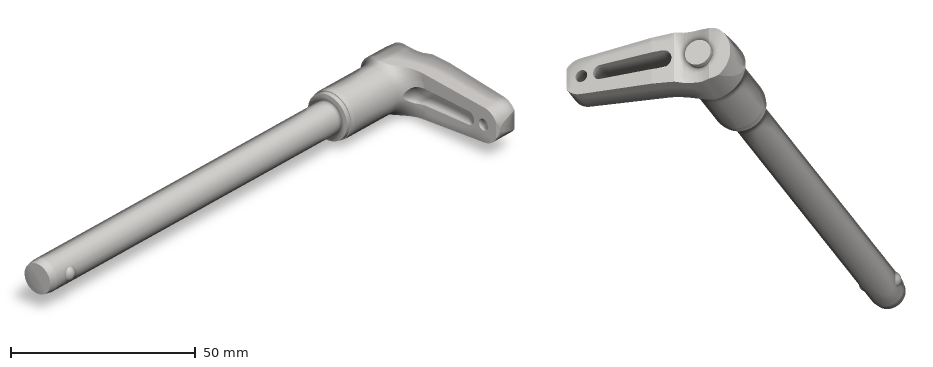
import cadquery as cq
import math


shank_radius = 5.0
shank_length = 119.6
tip_chamfer_length = 2.4
tip_chamfer_depth = 0.4
ball_radius = 2.2
ball_tip_offset = 6.0
ball_distance = 111.8

nose_radius = 7.0
nose_length = 1.4
collar_radius = 7.42
bevel_start = 2.7
bevel_depth = 0.1
flare_start = 20.0
flare_fillet = 5.85

handle_half_width = 7.91
blend_half_length = 0.8
head_tangent_x = -3.1
head_flank_angle = math.radians(7.0)
arm_end_radius = 5.4
arm_end_x = 34.5
slot_start_radius = 2.6
slot_start_x = 10.4
slot_end_radius = 2.1
slot_end_x = 28.9
lanyard_hole_radius = 1.75

head_top = 34.2
saddle_bottom = 33.45
saddle_end = 33.85
arm_bottom = flare_start + flare_fillet
arm_top = 35.15
arm_end_top = 32.2
arm_end_edge = 25.2
arm_end_bottom = 24.3

saddle_start_x = -2.6
saddle_middle_x = 0.6
saddle_end_x = 4.7
arm_crest_start_x = 7.0
arm_crest_end_x = 13.5
arm_top_end_x = 39.0
arm_slope_start_x = 11.4
arm_tip_x = arm_end_x + arm_end_radius
arm_bottom_chamfer = 0.7

relief_base_y = 24.9
relief_base_radius = 9.8
relief_top_radius = 8.75

button_radius = 3.7
button_top = 35.8

flare_radius = collar_radius + flare_fillet

blend_edge_half_width = handle_half_width - blend_half_length * math.tan(head_flank_angle) / 2
head_tangent_half_width = (
    blend_edge_half_width - (-blend_half_length - head_tangent_x) * math.tan(head_flank_angle)
)
head_radius = head_tangent_half_width / math.cos(head_flank_angle)
head_left_x = head_tangent_x + head_radius * (math.sin(head_flank_angle) - 1)


def revolve_about_pin(profile):
    """Revolve a closed radius/height profile about the Y axis."""
    return profile.close().revolve(360, (0, 0, 0), (0, 1, 0))


def along_pin(base_y):
    """Workplane whose local axes are X and Z and whose normal is +Y."""
    plane = cq.Plane(origin=(0, base_y, 0), xDir=(1, 0, 0), normal=(0, 1, 0))
    return cq.Workplane(plane)


def tangent_offsets(start_x, start_half_width, end_x, end_radius):
    """Offsets from an arc centre at end_x to its tangent point with a line from the start point."""
    run = end_x - start_x
    distance = math.hypot(run, start_half_width)
    angle = math.acos(end_radius / distance) - math.atan2(run, start_half_width)
    return end_radius * math.sin(angle), end_radius * math.cos(angle)


def make_outline(height):
    """Handle outline: head arc, spreading flanks, blend arcs and flanks tapering to the arm end."""
    end_dx, end_dz = tangent_offsets(
        blend_half_length, blend_edge_half_width, arm_end_x, arm_end_radius
    )
    end_tangent_x = arm_end_x + end_dx
    return (
        along_pin(flare_start)
        .moveTo(head_tangent_x, -head_tangent_half_width)
        .threePointArc((head_left_x, 0), (head_tangent_x, head_tangent_half_width))
        .lineTo(-blend_half_length, blend_edge_half_width)
        .threePointArc((0, handle_half_width), (blend_half_length, blend_edge_half_width))
        .lineTo(end_tangent_x, end_dz)
        .threePointArc((arm_tip_x, 0), (end_tangent_x, -end_dz))
        .lineTo(blend_half_length, -blend_edge_half_width)
        .threePointArc((0, -handle_half_width), (-blend_half_length, -blend_edge_half_width))
        .close()
        .extrude(height)
    )


def make_slot(height):
    """Tapered slot: two arcs on the X axis joined by tangent flanks."""
    tilt = math.asin((slot_start_radius - slot_end_radius) / (slot_end_x - slot_start_x))
    start_x = slot_start_x + slot_start_radius * math.sin(tilt)
    start_z = slot_start_radius * math.cos(tilt)
    end_x = slot_end_x + slot_end_radius * math.sin(tilt)
    end_z = slot_end_radius * math.cos(tilt)
    return (
        along_pin(flare_start)
        .moveTo(start_x, -start_z)
        .threePointArc((slot_start_x - slot_start_radius, 0), (start_x, start_z))
        .lineTo(end_x, end_z)
        .threePointArc((slot_end_x + slot_end_radius, 0), (end_x, -end_z))
        .close()
        .extrude(height)
    )


def make_shank():
    chamfer_y = tip_chamfer_length - shank_length
    profile = (
        cq.Workplane("XY")
        .moveTo(0, -shank_length)
        .lineTo(shank_radius - tip_chamfer_depth, -shank_length)
        .lineTo(shank_radius, chamfer_y)
        .lineTo(shank_radius, nose_length)
        .lineTo(0, nose_length)
    )
    return revolve_about_pin(profile)


def make_ball(side):
    center_x = side * (ball_tip_offset - ball_radius)
    return cq.Workplane("XY").sphere(ball_radius).translate((center_x, -ball_distance, 0))


def make_collar():
    profile = (
        cq.Workplane("XY")
        .lineTo(nose_radius, 0)
        .lineTo(nose_radius, nose_length)
        .lineTo(collar_radius - bevel_depth, nose_length)
        .lineTo(collar_radius, bevel_start)
        .lineTo(collar_radius, flare_start)
        .lineTo(0, flare_start)
    )
    return revolve_about_pin(profile)


def make_flare():
    """Concave fillet that spreads from the collar to the underside of the arm."""
    fillet_mid_offset = flare_fillet * math.sqrt(0.5)
    profile = (
        cq.Workplane("XY")
        .moveTo(0, flare_start)
        .lineTo(collar_radius, flare_start)
        .threePointArc(
            (flare_radius - fillet_mid_offset, flare_start + fillet_mid_offset),
            (flare_radius, arm_bottom),
        )
        .lineTo(0, arm_bottom)
    )
    return revolve_about_pin(profile)


def make_arm_profile():
    """Side profile of head and arm, extruded across the full handle width."""
    return (
        cq.Workplane("XY")
        .moveTo(head_left_x, arm_bottom)
        .lineTo(head_left_x, head_top)
        .lineTo(saddle_start_x, head_top)
        .threePointArc((saddle_middle_x, saddle_bottom), (saddle_end_x, saddle_end))
        .lineTo(arm_crest_start_x, arm_top)
        .lineTo(arm_crest_end_x, arm_top)
        .lineTo(arm_top_end_x, arm_end_top)
        .lineTo(arm_tip_x, arm_end_edge)
        .lineTo(arm_tip_x - arm_bottom_chamfer, arm_end_bottom)
        .lineTo(arm_slope_start_x, arm_bottom)
        .close()
        .extrude(handle_half_width, both=True)
    )


def make_relief_envelope():
    """Cone about the pin axis on the -X side, open space on the +X side."""
    slope = (relief_top_radius - relief_base_radius) / (head_top - relief_base_y)
    bottom_radius = relief_base_radius + slope * (flare_start - relief_base_y)
    top_radius = relief_base_radius + slope * (button_top - relief_base_y)
    profile = (
        cq.Workplane("XY")
        .moveTo(0, flare_start)
        .lineTo(bottom_radius, flare_start)
        .lineTo(top_radius, button_top)
        .lineTo(0, button_top)
    )
    height = button_top - flare_start
    arm_side = along_pin(flare_start).rect(arm_tip_x, 2 * handle_half_width).extrude(height)
    return revolve_about_pin(profile).union(arm_side.translate((arm_tip_x / 2, 0, 0)))


def make_handle():
    height = button_top - flare_start
    handle = make_flare().union(make_arm_profile())
    handle = handle.intersect(make_outline(height)).intersect(make_relief_envelope())
    hole = along_pin(flare_start).center(arm_end_x, 0).circle(lanyard_hole_radius).extrude(height)
    return handle.cut(make_slot(height)).cut(hole)


def make_button():
    return along_pin(flare_start).circle(button_radius).extrude(button_top - flare_start)


result = make_collar().union(make_handle()).union(make_shank()).union(make_button())
for side in (-1, 1):
    result = result.union(make_ball(side))